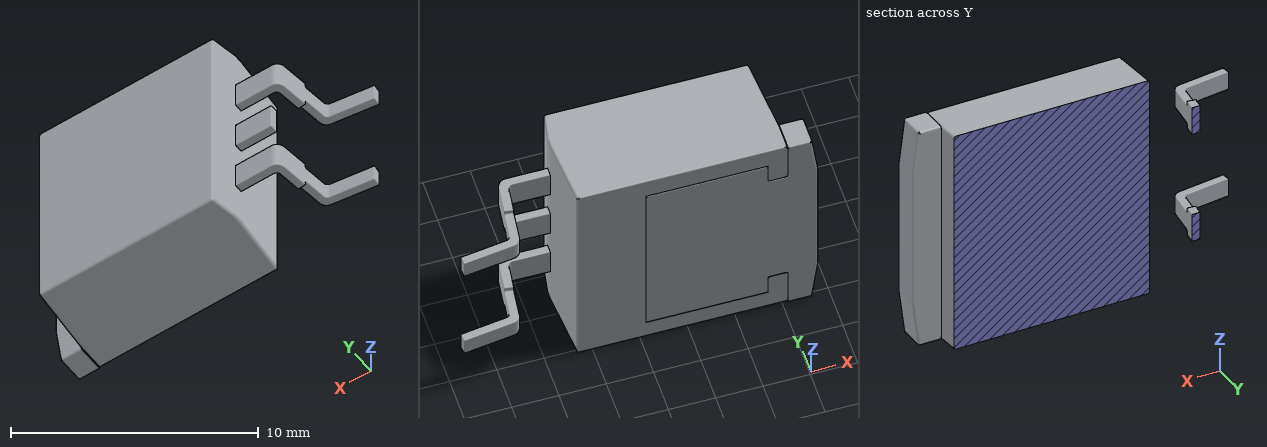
import cadquery as cq
import math


WIDTH = 10.16
HALF_WIDTH = WIDTH / 2
BODY_TOP = 4.6
BODY_RIGHT_TOP = 8.89
BODY_RIGHT = 9.14
SIDE_INSET = 0.23
EDGE_RADIUS = 0.13
BOTTOM_RIM_RADIUS = 0.05

TAB_TOP = 1.3
TAB_END = 10.43
TAB_CORNER_X = 10.17
TAB_FLAT_HALF_WIDTH = 3.08
TAB_EDGE_RADIUS = 0.1

PAD_HEIGHT = 0.05
PAD_START = 3.14
PAD_HALF_WIDTH = 4.14
PAD_EDGE_RADIUS = 0.04
NOTCH_START = 8.29
NOTCH_HALF_WIDTH = 3.14
NOTCH_RADIUS = 0.1

LEAD_THICKNESS = 0.4
LEAD_TOP = 3.33
LEAD_BOTTOM = LEAD_TOP - LEAD_THICKNESS
LEAD_PITCH = 2.54
LEAD_WIDTH = 1.3
LEAD_TIP_WIDTH = 0.85
LEAD_ROOT = 0.5
CENTRE_LEAD_LENGTH = 1.77
LEG_TOP_X = -2.13
LEG_LEAN = math.radians(7)
FOOT_TILT = math.radians(7.5)
TIP_X = -4.61
TIP_BOTTOM_Y = -0.19
SHOULDER_Y = 1.72
SHOULDER_RADIUS = 0.08
LEAD_EDGE_RADIUS = 0.04
INNER_BEND_RADIUS = 0.2
OUTER_BEND_RADIUS = 0.4

TOLERANCE = 0.001


def round_edges_near(solid, points, radius):
    """Round the edge closest to each point."""
    for point in points:
        solid = solid.edges(cq.selectors.NearestToPointSelector(point)).fillet(radius)
    return solid


def make_symmetric_plate(half, thickness):
    """Plate rising from Y = 0, its (X, Z) outline mirrored about Z = 0."""
    mirrored = [(x, -z) for x, z in reversed(half)]
    return cq.Workplane("XZ").polyline(half + mirrored).close().extrude(-thickness)


def make_bottom_rounded_bar(start, end, bottom, top):
    """Full-width bar along X with its two bottom edges rounded."""
    bar = (
        cq.Workplane("XY")
        .box(end - start, top - bottom, WIDTH, centered=(False, False, True))
        .translate((start, bottom, 0))
    )
    return bar.edges("|X and <Y").fillet(BOTTOM_RIM_RADIUS)


def make_body():
    """Moulded block that tapers on both sides of the lead plane."""
    profile = [
        (SIDE_INSET, PAD_HEIGHT),
        (BODY_RIGHT, PAD_HEIGHT),
        (BODY_RIGHT, TAB_TOP),
        (BODY_RIGHT_TOP, BODY_TOP),
        (SIDE_INSET, BODY_TOP),
        (0, LEAD_TOP),
        (0, LEAD_BOTTOM),
    ]
    block = cq.Workplane("XY").polyline(profile).close().extrude(HALF_WIDTH, both=True)

    rounded_left = round_edges_near(block, [(SIDE_INSET, PAD_HEIGHT, 0)], EDGE_RADIUS)
    bar = make_bottom_rounded_bar(0, BODY_RIGHT, PAD_HEIGHT, BODY_TOP)
    body = block.edges("|Z and >Y").fillet(EDGE_RADIUS)
    rim_box = cq.selectors.BoxSelector(
        (-TOLERANCE, PAD_HEIGHT + TOLERANCE, -WIDTH),
        (BODY_RIGHT - TOLERANCE, BODY_TOP + TOLERANCE, WIDTH),
    )
    body = body.faces("<Z or >Z").edges(rim_box).fillet(EDGE_RADIUS)
    return body.intersect(rounded_left).intersect(bar)


def make_tab():
    """Plate with tapered outer corners, rounded a set of edges at a time like the body."""
    half = [
        (BODY_RIGHT, HALF_WIDTH),
        (TAB_CORNER_X, HALF_WIDTH),
        (TAB_END, TAB_FLAT_HALF_WIDTH),
    ]
    plate = make_symmetric_plate(half, TAB_TOP)

    corners = [(TAB_CORNER_X, TAB_TOP / 2, side * HALF_WIDTH) for side in (-1, 1)]
    rounded_corners = round_edges_near(plate, corners, TAB_EDGE_RADIUS)
    bar = make_bottom_rounded_bar(BODY_RIGHT, TAB_END, 0, TAB_TOP)
    end_box = cq.selectors.BoxSelector(
        (TAB_CORNER_X, -TOLERANCE, -WIDTH), (TAB_END + TOLERANCE, TOLERANCE, WIDTH)
    )
    tab = plate.edges(end_box).fillet(EDGE_RADIUS)
    tab = tab.edges("<X and <Y").fillet(PAD_EDGE_RADIUS)
    tab = tab.faces(">Y").edges("not <X").fillet(TAB_EDGE_RADIUS)
    return tab.intersect(rounded_corners).intersect(bar)


def make_pad():
    """Pad outline sunk one pad height into the body, running on inside the tab."""
    half = [
        (PAD_START, PAD_HALF_WIDTH),
        (NOTCH_START, PAD_HALF_WIDTH),
        (NOTCH_START, NOTCH_HALF_WIDTH),
        (BODY_RIGHT, NOTCH_HALF_WIDTH),
        (BODY_RIGHT, PAD_HALF_WIDTH),
        (TAB_CORNER_X, PAD_HALF_WIDTH),
    ]
    pad = make_symmetric_plate(half, 2 * PAD_HEIGHT)
    notch_corners = [
        (x, PAD_HEIGHT, side * NOTCH_HALF_WIDTH)
        for x in (NOTCH_START, BODY_RIGHT)
        for side in (-1, 1)
    ]
    pad = round_edges_near(pad, notch_corners, NOTCH_RADIUS)
    return pad.faces("<Y").edges().fillet(PAD_EDGE_RADIUS)


def make_lead_side():
    """Side outline of a bent lead, extruded to the full lead width."""
    leg_run = math.tan(LEG_LEAN)
    foot_rise = math.tan(FOOT_TILT)
    leg_shift = LEAD_THICKNESS / math.cos(LEG_LEAN)
    foot_shift = LEAD_THICKNESS / math.cos(FOOT_TILT)

    def knee(leg_x, tip_y):
        """Where the leg line from (leg_x, LEAD_TOP) meets the foot line from (TIP_X, tip_y)."""
        x = (leg_x - leg_run * (LEAD_TOP - tip_y + foot_rise * TIP_X)) / (1 - leg_run * foot_rise)
        return (x, tip_y + foot_rise * (x - TIP_X))

    outer_top = (LEG_TOP_X, LEAD_TOP)
    inner_top = (LEG_TOP_X + leg_shift - LEAD_THICKNESS * leg_run, LEAD_BOTTOM)
    inner_knee = knee(LEG_TOP_X, TIP_BOTTOM_Y + foot_shift)
    outer_knee = knee(LEG_TOP_X + leg_shift, TIP_BOTTOM_Y)
    tip_top = (
        TIP_X - LEAD_THICKNESS * math.sin(FOOT_TILT),
        TIP_BOTTOM_Y + LEAD_THICKNESS * math.cos(FOOT_TILT),
    )
    outline = [
        (LEAD_ROOT, LEAD_TOP),
        outer_top,
        inner_knee,
        tip_top,
        (TIP_X, TIP_BOTTOM_Y),
        outer_knee,
        inner_top,
        (LEAD_ROOT, LEAD_BOTTOM),
    ]
    lead = cq.Workplane("XY").polyline(outline).close().extrude(LEAD_WIDTH / 2, both=True)
    lead = round_edges_near(lead, [(*outer_top, 0), (*outer_knee, 0)], OUTER_BEND_RADIUS)
    return round_edges_near(lead, [(*inner_top, 0), (*inner_knee, 0)], INNER_BEND_RADIUS)


def make_bent_lead():
    """Bent lead with its lower leg and foot narrowed at a shoulder."""
    lead = make_lead_side()
    trim_width = LEAD_WIDTH - LEAD_TIP_WIDTH
    trim_length = LEAD_TOP
    trim_reach = 2 * abs(TIP_X)
    shoulder_x = LEG_TOP_X - (LEAD_TOP - SHOULDER_Y) * math.tan(LEG_LEAN)
    for side in (-1, 1):
        trim = cq.Workplane("XY").box(trim_reach, trim_length, trim_width)
        inner_side = "<Z" if side > 0 else ">Z"
        trim = trim.edges(f"|X and >Y and {inner_side}").fillet(SHOULDER_RADIUS)
        trim = trim.translate((0, -trim_length / 2, side * (LEAD_TIP_WIDTH + trim_width) / 2))
        trim = trim.rotate((0, 0, 0), (0, 0, 1), -math.degrees(LEG_LEAN))
        lead = lead.cut(trim.translate((shoulder_x, SHOULDER_Y, 0)))
    tip_edges = lead.faces("<X").edges("|Z")
    lead = tip_edges.fillet(LEAD_EDGE_RADIUS)
    return lead.edges("not (|Z or >X)").fillet(LEAD_EDGE_RADIUS)


def make_centre_lead():
    """Short straight lead stub, cut off close to the body."""
    length = CENTRE_LEAD_LENGTH + LEAD_ROOT
    stub = (
        cq.Workplane("XY")
        .box(length, LEAD_THICKNESS, LEAD_WIDTH, centered=(False, False, True))
        .translate((-CENTRE_LEAD_LENGTH, LEAD_BOTTOM, 0))
    )
    return stub.edges("not >X").fillet(LEAD_EDGE_RADIUS)


def make_package():
    """Body, tab, pad and all three leads joined into one solid."""
    package = make_body().union(make_tab()).union(make_pad())
    lead = make_bent_lead()
    for side in (-1, 1):
        package = package.union(lead.translate((0, 0, side * LEAD_PITCH)))
    return package.union(make_centre_lead())


result = make_package()